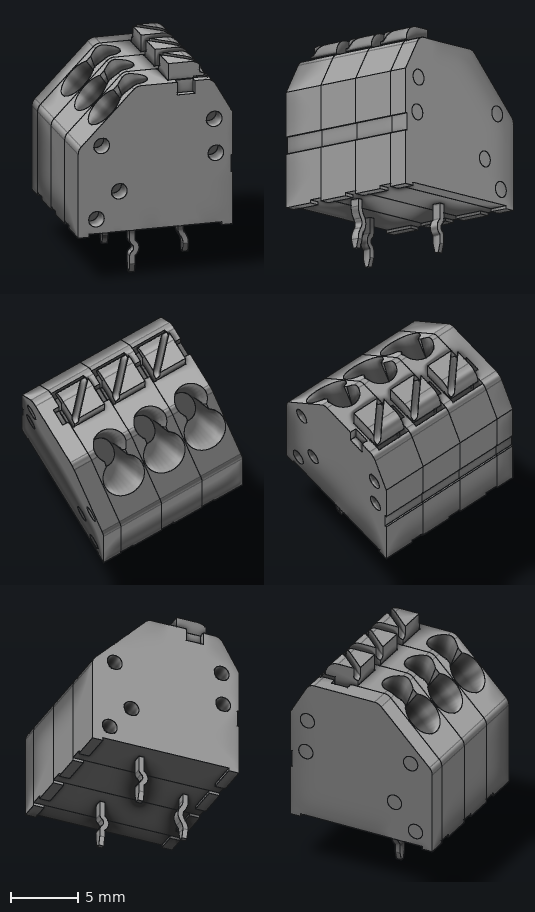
import cadquery as cq
import math


total_width = 12.0
total_depth = 12.0
body_height = 11.5
terminal_count = 3
plate_thickness = 1.5
pitch = (total_width - plate_thickness) / terminal_count
front_y = -total_depth / 2
back_y = total_depth / 2

front_corner_z = 6.91
slope_top_y = -1.45
rear_corner_z = 8.82
rear_slope_angle = 60
rear_top_y = back_y - (body_height - rear_corner_z) / math.tan(math.radians(rear_slope_angle))
edge_round = 0.8
foot_length = 0.85
foot_height = 0.23
rear_groove_z = 4.1
rear_groove_height = 1.3
rear_groove_depth = 0.13

peg_diameter = 1.2
peg_places = [(4.56, 8.36), (4.7, 5.69), (-4.17, 7.07), (-2.8, 3.39), (-4.58, 1.37)]
foot_notch_width = 1.05
side_recess_width = 0.5
side_recess_front_y = 1.7
side_recess_length = 1.37
side_recess_depth = 1.0

floor_y = 0.05
floor_z = 5.92
entry_tilt = 44.2
entry_taper = 7.5
entry_floor_radius = 1.0
test_tilt = 15.0
test_taper = 3.3
test_floor_radius = 0.93
neck_width = 1.83
funnel_length = 8.15
entry_sink = 1.63

button_left = 0.25
button_width = 2.56
button_front_y = 1.2
button_back_y = 4.0
button_top_z = 12.8
button_round = 1.1
stem_back_y = 3.18
head_bottom_z = 11.62
pocket_front_y = 1.15
pocket_back_y = 4.25
pocket_floor_z = 9.45
flange_top_z = 10.27
flange_round = 0.44
flange_ramp_length = 0.23
flange_ramp_height = 0.33
slot_width = 0.5
slot_depth = 0.96

pin_width = 0.72
pin_thickness = 0.42
pin_x = 1.9
pin_tip_z = -3.5
pin_tip_width = 0.35
pin_taper_z = -2.82
bend_middle_z = -1.58
front_pin_y = -1.42
front_bend = 0.31
front_bend_length = 1.24
front_bend_crown = 0.7
back_pin_y = 3.78
back_bend = -0.4
back_bend_length = 2.48
back_bend_crown = 0.4


def box(x0, x1, y0, y1, z0, z1):
    """Box between two corners."""
    solid = cq.Workplane("XY").box(x1 - x0, y1 - y0, z1 - z0, centered=False)
    return solid.translate((x0, y0, z0))


def block(left, width):
    """Plain block with the side outline, feet and rear groove."""
    outline = [
        (front_y, 0),
        (front_y, front_corner_z),
        (slope_top_y, body_height),
        (rear_top_y, body_height),
        (back_y, rear_corner_z),
        (back_y, 0),
        (back_y - foot_length, 0),
        (back_y - foot_length, foot_height),
        (front_y + foot_length, foot_height),
        (front_y + foot_length, 0),
    ]
    solid = cq.Workplane("YZ").polyline(outline).close().extrude(width).translate((left, 0, 0))
    for y, z in [(front_y, front_corner_z), (slope_top_y, body_height), (rear_top_y, body_height)]:
        edge = cq.selectors.NearestToPointSelector((left + width / 2, y, z))
        solid = solid.edges(edge).fillet(edge_round)
    groove_top_z = rear_groove_z + rear_groove_height
    groove = box(left, left + width, back_y - rear_groove_depth, back_y, rear_groove_z, groove_top_z)
    return solid.cut(groove)


def pegs(left):
    """Five round pegs, as long as the end plate is thick, starting at X = left."""
    return (
        cq.Workplane("YZ", origin=(left, 0, 0))
        .pushPoints(peg_places)
        .circle(peg_diameter / 2)
        .extrude(plate_thickness)
    )


def side_recess(right):
    """Shallow recess in the top, open to the block's right face."""
    return box(
        right - side_recess_width,
        right,
        side_recess_front_y,
        side_recess_front_y + side_recess_length,
        body_height - side_recess_depth,
        body_height,
    )


def axis_direction(tilt):
    """Upward direction that leans forward, to -Y, by the tilt angle."""
    lean = math.radians(tilt)
    return cq.Vector(0, -math.sin(lean), math.cos(lean))


def funnel(x, floor_radius, tilt, taper, sink):
    """Cone that widens upward from the floor and starts a distance `sink` below it."""
    growth = math.tan(math.radians(taper))
    axis = axis_direction(tilt)
    start = cq.Vector(x, floor_y, floor_z) - axis * sink
    start_radius = floor_radius - sink * growth
    end_radius = floor_radius + funnel_length * growth
    return cq.Workplane(cq.Solid.makeCone(start_radius, end_radius, sink + funnel_length, start, axis))


def neck(x):
    """Flat-sided wedge that fills the gap between the axes of the two funnels."""
    floor_middle = cq.Vector(0, floor_y, floor_z)
    entry_end = floor_middle + axis_direction(entry_tilt) * funnel_length
    test_end = floor_middle + axis_direction(test_tilt) * funnel_length
    corners = [(point.y, point.z) for point in (floor_middle, entry_end, test_end)]
    return cq.Workplane("YZ", origin=(x, 0, 0)).polyline(corners).close().extrude(neck_width / 2, both=True)


def wire_opening(x):
    """Both funnels and their neck, all ending on the floor square to the test funnel."""
    entry = funnel(x, entry_floor_radius, entry_tilt, entry_taper, entry_sink)
    test = funnel(x, test_floor_radius, test_tilt, test_taper, 0)
    floor_size = 4 * total_depth
    above_floor = (
        cq.Workplane("XY")
        .box(floor_size, floor_size, floor_size, centered=(True, True, False))
        .rotate((0, 0, 0), (1, 0, 0), test_tilt)
        .translate((x, floor_y, floor_z))
    )
    return entry.intersect(above_floor).union(test).union(neck(x))


def end_plate():
    """Plate that closes the row; the first housing's pegs reach through it."""
    solid = block(0, plate_thickness)
    return solid.cut(pegs(0)).cut(side_recess(plate_thickness))


def housing(left):
    """Housing of one terminal, with pegs on its left and matching sockets on its right."""
    right = left + pitch
    solid = block(left, pitch)
    solid = solid.cut(box(left, left + foot_notch_width, front_y, back_y, 0, foot_height))
    solid = solid.cut(side_recess(right))
    pocket_right = left + button_left + button_width
    solid = solid.cut(box(left, pocket_right, pocket_front_y, pocket_back_y, pocket_floor_z, body_height))
    solid = solid.cut(wire_opening(left + pitch / 2))
    solid = solid.cut(pegs(right - plate_thickness))
    return solid.union(pegs(left - plate_thickness))


def button(left):
    """Push button with an overhanging head, a side flange and a diagonal driver slot."""
    head_left = left + button_left
    head_right = head_left + button_width
    arc_middle = button_round * (1 - math.sqrt(0.5))
    solid = (
        cq.Workplane("YZ", origin=(head_left, 0, 0))
        .moveTo(button_front_y, pocket_floor_z)
        .lineTo(button_front_y, button_top_z)
        .lineTo(button_back_y - button_round, button_top_z)
        .threePointArc(
            (button_back_y - arc_middle, button_top_z - arc_middle),
            (button_back_y, button_top_z - button_round),
        )
        .lineTo(button_back_y, head_bottom_z)
        .lineTo(stem_back_y, head_bottom_z)
        .lineTo(stem_back_y, pocket_floor_z)
        .close()
        .extrude(button_width)
    )
    return solid.union(flange(left)).cut(driver_slot(head_left, head_right))


def flange(left):
    """Low ledge on the button's left side, ramped up at the front and rounded at the rear."""
    arc_middle = flange_round * (1 - math.sqrt(0.5))
    return (
        cq.Workplane("YZ", origin=(left, 0, 0))
        .moveTo(button_front_y, pocket_floor_z)
        .lineTo(button_front_y, flange_top_z + flange_ramp_height)
        .lineTo(button_front_y + flange_ramp_length, flange_top_z)
        .lineTo(stem_back_y - flange_round, flange_top_z)
        .threePointArc(
            (stem_back_y - arc_middle, flange_top_z - arc_middle),
            (stem_back_y, flange_top_z - flange_round),
        )
        .lineTo(stem_back_y, pocket_floor_z)
        .close()
        .extrude(button_left)
    )


def driver_slot(head_left, head_right):
    """Round-bottomed slot along the diagonal of the button's top."""
    depth = button_back_y - button_front_y
    length = 2 * math.hypot(button_width, depth)
    direction = math.degrees(math.atan2(depth, button_width))
    radius = slot_width / 2
    half = length / 2
    profile = (
        cq.Workplane("YZ", origin=(-half, 0, 0))
        .moveTo(-radius, slot_depth)
        .lineTo(-radius, radius)
        .threePointArc((0, 0), (radius, radius))
        .lineTo(radius, slot_depth)
        .close()
        .extrude(length)
    )
    middle = ((head_left + head_right) / 2, (button_front_y + button_back_y) / 2, button_top_z - slot_depth)
    return profile.rotate((0, 0, 0), (0, 0, 1), direction).translate(middle)


def pin(x, y, bend, bend_length, crown):
    """Flat solder pin with a smooth sideways bend and a tapered tip."""
    half_bend = bend_length / 2
    turn_y = y + bend * (1 - crown)
    turn_height = half_bend * crown
    path = (
        cq.Workplane("YZ", origin=(x, 0, 0))
        .moveTo(y, foot_height)
        .lineTo(y, bend_middle_z + half_bend)
        .tangentArcPoint((turn_y, bend_middle_z + turn_height), relative=False)
        .tangentArcPoint((y + bend, bend_middle_z), relative=False)
        .tangentArcPoint((turn_y, bend_middle_z - turn_height), relative=False)
        .tangentArcPoint((y, bend_middle_z - half_bend), relative=False)
        .lineTo(y, pin_tip_z)
    )
    strip = cq.Workplane("XY", origin=(x, y, foot_height)).rect(pin_width, pin_thickness).sweep(path)
    half = pin_width / 2
    half_tip = pin_tip_width / 2
    front_outline = (
        cq.Workplane("XZ")
        .polyline(
            [
                (x - half, foot_height),
                (x + half, foot_height),
                (x + half, pin_taper_z),
                (x + half_tip, pin_tip_z),
                (x - half_tip, pin_tip_z),
                (x - half, pin_taper_z),
            ]
        )
        .close()
        .extrude(total_depth, both=True)
    )
    return strip.intersect(front_outline)


plate = end_plate()
housings = []
buttons = []
pins = []
for index in range(terminal_count):
    housing_left = plate_thickness + index * pitch
    housings.append(housing(housing_left).val())
    buttons.append(button(housing_left).val())
    if index % 2 == 0:
        terminal_pin = pin(housing_left + pin_x, front_pin_y, front_bend, front_bend_length, front_bend_crown)
    else:
        terminal_pin = pin(housing_left + pin_x, back_pin_y, back_bend, back_bend_length, back_bend_crown)
    pins.append(terminal_pin.val())

result = cq.Compound.makeCompound([plate.val(), *housings, *buttons, *pins])